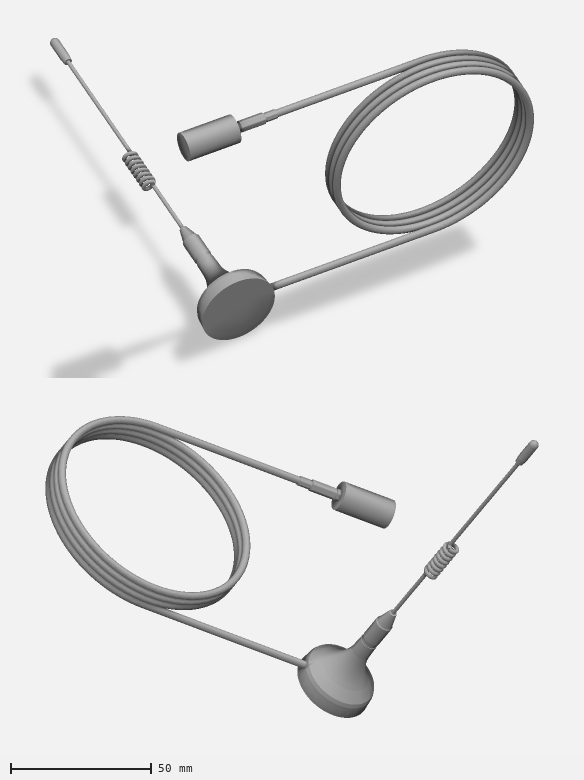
import cadquery as cq
import math


base_radius = 29.0 / 2
rim_front_x = -5.0
rim_front_radius = 14.0
shoulder_x = -6.5
shoulder_radius = 13.4
flare_end_x = -9.5
flare_end_radius = 9.5
flare_mid_x = -13.0
flare_mid_radius = 6.2
flare_start_x = -20.5
flare_start_radius = 3.5
neck_radius = 6.7 / 2
neck_x = -26.7
boss_radius = 2.1
boss_x = -5.2
boss_end_y = 14.0

ferrule_tip_x = -44.0
ferrule_shoulder_x = -38.1
ferrule_radius = neck_radius
ferrule_cone_radius = 3.0
ferrule_tip_radius = 1.5
ferrule_shoulder_length = 0.5
joint_radius = 3.1
joint_chamfer_length = 1.0
ferrule_end_x = -27.6

wire_radius = 0.7
coil_radius = 2.2
coil_pitch = 2.2
coil_full_turns = 7
coil_start_x = -85.3
coil_center_y = -1.2

tip_end_x = -148.4
tip_radius = 1.8
tip_taper_x = -138.6
tip_back_x = -136.0
tip_back_radius = 1.5

cable_radius = 1.41
cable_x = -4.5
cable_socket_depth = 0.6
loop_pitch = 3.1
loop_turns = 3.5
connector_z = 76.3
loop_center_y = 80.7

connector_radius = 10.8 / 2
connector_front_y = -14.2
connector_back_y = 6.1
collar_end_y = 7.5
grip_start_y = 8.0
grip_end_y = 17.7
ring_start_y = 18.3
ring_end_y = 22.5
grip_sides = 6
grip_across_corners = 4.6
grip_edge_radius = 0.6
ring_sides = 8
ring_across_corners = 3.5
sleeve_core_radius = 1.6

loop_radius = connector_z / 2
connector_x = cable_x - loop_pitch * loop_turns
cable_start_y = boss_end_y - cable_socket_depth
dome_end_x = tip_end_x + tip_radius

coil_end_height = math.sqrt(coil_radius**2 - coil_center_y**2)
coil_end_angle = math.acos(-coil_center_y / coil_radius)
coil_turns = coil_full_turns + 1 - coil_end_angle / math.pi
coil_length = coil_pitch * coil_turns
coil_end_x = coil_start_x + coil_length


def plane_facing_y(x, y, z):
    """Plane whose normal is +Y, with its first axis along +Z."""
    return cq.Workplane(cq.Plane(origin=(x, y, z), xDir=(0, 0, 1), normal=(0, 1, 0)))


def rod_along_y(x, z, start_y, end_y, radius):
    """Round rod with its axis parallel to Y."""
    return plane_facing_y(x, start_y, z).circle(radius).extrude(end_y - start_y)


def left_hand_coil(radius, pitch, turns, wire, plane):
    """Left-hand coil along the plane's normal, starting on the plane's first axis."""
    path = cq.Wire.makeHelix(pitch, pitch * turns, radius, lefthand=True)
    coil = cq.Workplane("XZ").center(radius, 0).circle(wire).sweep(path, isFrenet=True)
    return cq.Workplane(coil.val().moved(cq.Location(plane)))


def revolve_about_x(profile):
    """Full turn about the X axis of an open profile whose ends lie on that axis."""
    return profile.close().revolve(360, (0, 0, 0), (1, 0, 0))


def make_cable():
    """Loop of three and a half turns, with a straight lead from the base and one to the connector."""
    loop_plane = cq.Plane(origin=(cable_x, loop_center_y, loop_radius), xDir=(0, 0, -1), normal=(-1, 0, 0))
    loop = left_hand_coil(loop_radius, loop_pitch, loop_turns, cable_radius, loop_plane)
    base_lead = rod_along_y(cable_x, 0, cable_start_y, loop_center_y, cable_radius)
    connector_lead = rod_along_y(connector_x, connector_z, ring_end_y, loop_center_y, cable_radius)
    return loop.union(base_lead).union(connector_lead)


def make_base():
    """Flared base and neck, with a side boss whose socket takes the end of the cable."""
    body = revolve_about_x(
        cq.Workplane("XY")
        .moveTo(ferrule_end_x, 0)
        .lineTo(ferrule_end_x, joint_radius)
        .lineTo(neck_x, joint_radius)
        .lineTo(neck_x, neck_radius)
        .lineTo(flare_start_x, flare_start_radius)
        .threePointArc((flare_mid_x, flare_mid_radius), (flare_end_x, flare_end_radius))
        .lineTo(shoulder_x, shoulder_radius)
        .lineTo(rim_front_x, rim_front_radius)
        .lineTo(0, base_radius)
        .lineTo(0, 0)
    )
    boss = rod_along_y(boss_x, 0, 0, boss_end_y, boss_radius)
    socket = rod_along_y(cable_x, 0, cable_start_y, base_radius, cable_radius)
    return body.union(boss).cut(socket)


def make_ferrule():
    """Round ferrule, tapered toward the whip and chamfered where it meets the base."""
    return revolve_about_x(
        cq.Workplane("XY")
        .moveTo(ferrule_tip_x, 0)
        .lineTo(ferrule_tip_x, ferrule_tip_radius)
        .lineTo(ferrule_shoulder_x, ferrule_cone_radius)
        .lineTo(ferrule_shoulder_x + ferrule_shoulder_length, ferrule_radius)
        .lineTo(ferrule_end_x - joint_chamfer_length, ferrule_radius)
        .lineTo(ferrule_end_x, joint_radius)
        .lineTo(ferrule_end_x, 0)
    )


def make_whip():
    """Straight wire broken by the coil, with a short bent wire joining it to each coil end."""
    start_direction = (0, -coil_center_y, -coil_end_height)
    coil_plane = cq.Plane(origin=(coil_start_x, coil_center_y, 0), xDir=start_direction, normal=(1, 0, 0))
    whip = left_hand_coil(coil_radius, coil_pitch, coil_turns, wire_radius, coil_plane)
    for rod_end_x, bend_x, height in [
        (tip_back_x, coil_start_x, -coil_end_height),
        (ferrule_tip_x, coil_end_x, coil_end_height),
    ]:
        path = cq.Workplane("XZ").moveTo(rod_end_x, 0).lineTo(bend_x, 0).lineTo(bend_x, height)
        profile = cq.Workplane("YZ", origin=(rod_end_x, 0, 0)).circle(wire_radius)
        whip = whip.union(profile.sweep(path, transition="right"))
    return whip


def make_tip_cap():
    """Cap on the free end of the whip, with a domed front and a tapered back."""
    dome_mid = tip_radius / math.sqrt(2)
    return revolve_about_x(
        cq.Workplane("XY")
        .moveTo(tip_end_x, 0)
        .threePointArc((dome_end_x - dome_mid, dome_mid), (dome_end_x, tip_radius))
        .lineTo(tip_taper_x, tip_radius)
        .lineTo(tip_back_x, tip_back_radius)
        .lineTo(tip_back_x, 0)
    )


def make_crimp_sleeve():
    """Rounded hexagonal grip and collar and an octagonal end ring on a round core."""
    def prism(sides, across_corners, start_y, end_y):
        section = plane_facing_y(connector_x, start_y, connector_z)
        return section.polygon(sides, across_corners).extrude(end_y - start_y)

    def rounded_hexagon(start_y, end_y):
        return prism(grip_sides, grip_across_corners, start_y, end_y).edges("|Y").fillet(grip_edge_radius)

    core = rod_along_y(connector_x, connector_z, connector_back_y, ring_end_y, sleeve_core_radius)
    collar = rounded_hexagon(connector_back_y, collar_end_y)
    grip = rounded_hexagon(grip_start_y, grip_end_y)
    ring = prism(ring_sides, ring_across_corners, ring_start_y, ring_end_y)
    return core.union(collar).union(grip).union(ring)


base = make_base()
ferrule = make_ferrule()
whip = make_whip()
tip_cap = make_tip_cap()
cable = make_cable()
crimp_sleeve = make_crimp_sleeve()
connector = rod_along_y(connector_x, connector_z, connector_front_y, connector_back_y, connector_radius)

result = cq.Compound.makeCompound([
    base.solids().val(),
    ferrule.val(),
    whip.solids().val(),
    tip_cap.val(),
    cable.solids().val(),
    crimp_sleeve.solids().val(),
    connector.val(),
])